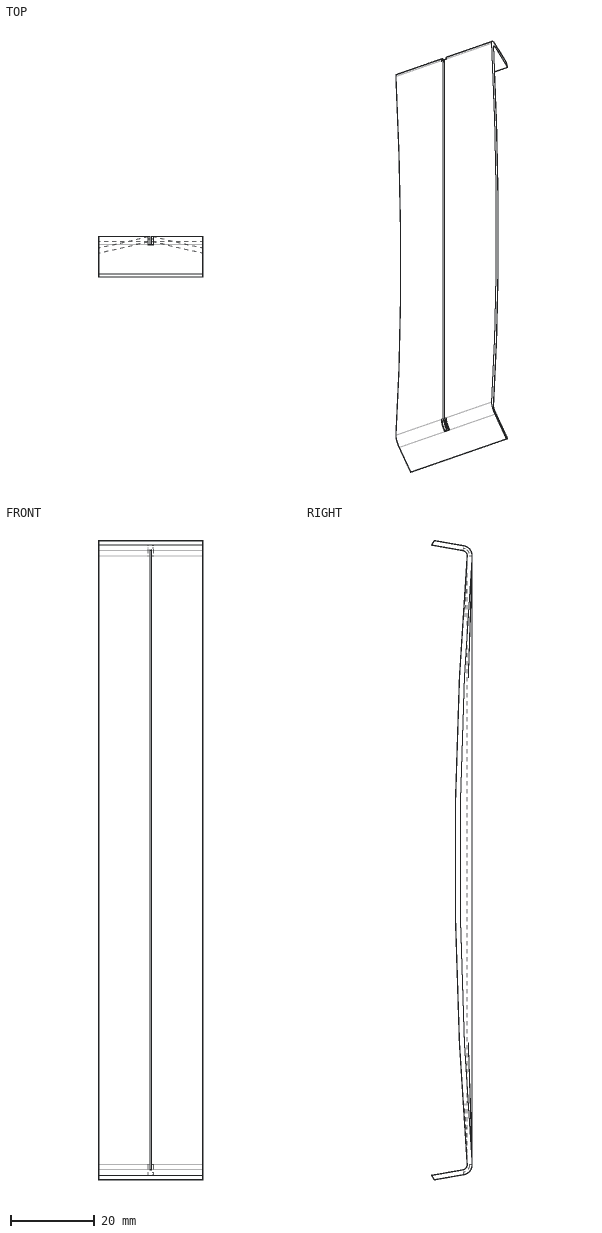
import cadquery as cq
import math

width = 25.1
depth = 9.9
height = 154.0
thickness = 1.2

splay_angle = math.radians(10)
bend_outer_radius = 2.5
tip_setback = 0.8
bend_inner_radius = bend_outer_radius - thickness

edge_bow = 3.0

slit_width = 0.3

groove_width = 1.2
groove_depth = 0.6

half_width = width / 2
half_slit = slit_width / 2
back_y = depth / 2
tip_y = -depth / 2

bend_angle = math.pi / 2 - splay_angle
bend_center_y = back_y - bend_outer_radius
outer_tip_y = tip_y + tip_setback
flange_run = bend_center_y + bend_outer_radius * math.cos(bend_angle) - outer_tip_y
flange_rise = flange_run * math.tan(splay_angle)
web_half_height = height / 2 - flange_rise - bend_outer_radius * math.sin(bend_angle)


def bend_point(radius, angle):
    """Point (y, z) on the top bend, with the angle measured from the back of the web."""
    return (
        bend_center_y + radius * math.cos(angle),
        web_half_height + radius * math.sin(angle),
    )


def arc_band(outer_radius, inner_radius):
    """Side outline of the part of the top bend between two radii."""
    middle = bend_angle / 2
    return (
        cq.Workplane("YZ")
        .moveTo(*bend_point(outer_radius, 0))
        .threePointArc(bend_point(outer_radius, middle), bend_point(outer_radius, bend_angle))
        .lineTo(*bend_point(inner_radius, bend_angle))
        .threePointArc(bend_point(inner_radius, middle), bend_point(inner_radius, 0))
        .close()
    )


def top_flange():
    """Flat flange whose bevelled end leaves the inner face longer."""
    outer_root = bend_point(bend_outer_radius, bend_angle)
    inner_root = bend_point(bend_inner_radius, bend_angle)
    outer_tip = (outer_tip_y, height / 2)
    inner_run = inner_root[0] - tip_y
    inner_tip = (tip_y, inner_root[1] + inner_run * math.tan(splay_angle))
    return (
        cq.Workplane("YZ")
        .polyline([outer_root, outer_tip, inner_tip, inner_root])
        .close()
        .extrude(half_width, both=True)
    )


def web_half():
    """Right half of the web, ruled between the straight slit edge and the bowed side edge."""

    def slit_edge(y):
        return cq.Edge.makeLine(
            cq.Vector(half_slit, y, -web_half_height),
            cq.Vector(half_slit, y, web_half_height),
        )

    def side_edge(y):
        return cq.Edge.makeThreePointArc(
            cq.Vector(half_width, y, -web_half_height),
            cq.Vector(half_width, y - edge_bow, 0),
            cq.Vector(half_width, y, web_half_height),
        )

    front_y = back_y - thickness
    long_edges = [slit_edge(back_y), side_edge(back_y), side_edge(front_y), slit_edge(front_y)]
    faces = [
        cq.Face.makeRuledSurface(edge, following)
        for edge, following in zip(long_edges, long_edges[1:] + long_edges[:1])
    ]
    for end in (0, 1):
        corners = [edge.positionAt(end) for edge in long_edges]
        faces.append(cq.Face.makeFromWires(cq.Wire.makePolygon(corners, close=True)))
    return cq.Workplane(cq.Solid.makeSolid(cq.Shell.makeShell(faces)))


def top_end():
    """Slit and grooved bend joined to the full-width flange."""
    bend = arc_band(bend_outer_radius, bend_inner_radius).extrude(half_width, both=True)
    slit = arc_band(bend_outer_radius, bend_inner_radius).extrude(half_slit, both=True)
    groove_floor = bend_outer_radius - groove_depth
    groove = arc_band(bend_outer_radius, groove_floor).extrude(groove_width / 2, both=True)
    return top_flange().union(bend.cut(slit).cut(groove))


right_web = web_half()
upper_end = top_end()
web = right_web.union(right_web.mirror("YZ"))
result = web.union(upper_end).union(upper_end.mirror("XY"))